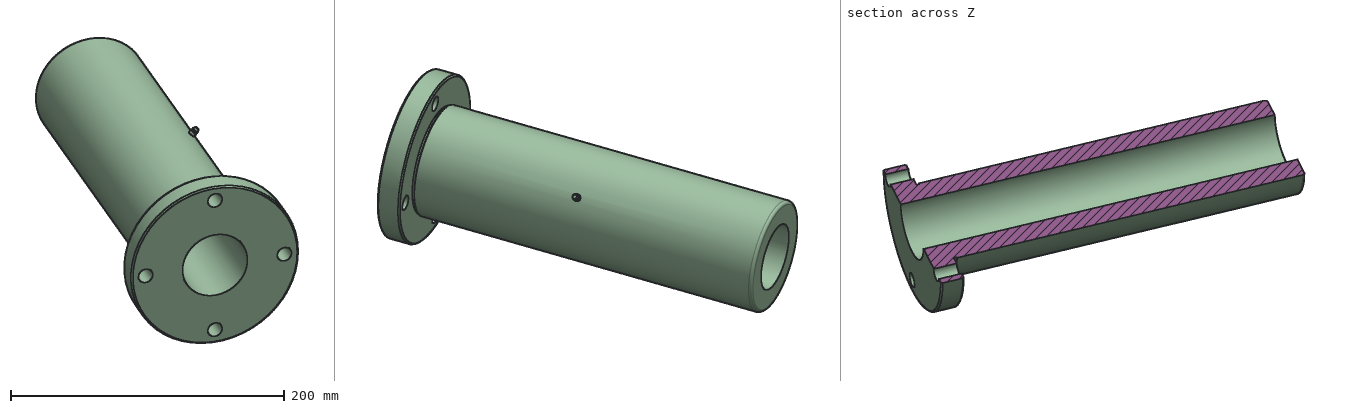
import cadquery as cq

total_length = 290.0
flange_diameter = 129.0
flange_thickness = 18.0
flange_chamfer_length = 1.2
flange_chamfer_depth = 1.2
sleeve_diameter = 85.0
bore_diameter = 50.0

end_round_radius = 2.5

relief_width = 2.0
relief_depth = 1.0

hole_count = 4
hole_diameter = 11.0
hole_circle_diameter = 107.0

nipple_x = total_length / 2
nipple_angle = 45.0
nipple_root_depth = 2.0
collar_diameter = 5.2
collar_height = 2.4
neck_diameter = 4.2
head_base_height = 3.2
head_base_diameter = 4.8
head_shoulder_height = 4.2
nipple_tip_diameter = 3.2
nipple_height = 6.2

flange_radius = flange_diameter / 2
sleeve_radius = sleeve_diameter / 2
bore_radius = bore_diameter / 2
flange_start = total_length - flange_thickness


def make_body():
    """Sleeve and flange turned about the X axis, from one half profile."""
    relief_start = flange_start - relief_width
    relief_radius = sleeve_radius - relief_depth
    rim_edge_radius = flange_radius - flange_chamfer_depth
    half_profile = (
        cq.Workplane("XY")
        .moveTo(0, bore_radius)
        .lineTo(0, sleeve_radius - end_round_radius)
        .radiusArc((end_round_radius, sleeve_radius), end_round_radius)
        .lineTo(relief_start, sleeve_radius)
        .lineTo(relief_start, relief_radius)
        .lineTo(flange_start, relief_radius)
        .lineTo(flange_start, rim_edge_radius)
        .lineTo(flange_start + flange_chamfer_length, flange_radius)
        .lineTo(total_length - flange_chamfer_length, flange_radius)
        .lineTo(total_length, rim_edge_radius)
        .lineTo(total_length, bore_radius)
        .close()
    )
    return half_profile.revolve(360, (0, 0, 0), (1, 0, 0))


def make_flange_holes():
    """Cylinders for the mounting holes, on the Y and Z axes of the flange."""
    return (
        cq.Workplane("YZ", origin=(flange_start, 0, 0))
        .polarArray(hole_circle_diameter / 2, 0, 360, hole_count)
        .circle(hole_diameter / 2)
        .extrude(flange_thickness)
    )


def make_grease_nipple():
    """Collar, neck and tapered head turned about a radial axis of the sleeve."""
    collar_radius = collar_diameter / 2
    neck_radius = neck_diameter / 2
    head_radius = head_base_diameter / 2
    half_profile = (
        cq.Workplane("XZ", origin=(nipple_x, 0, sleeve_radius))
        .moveTo(0, -nipple_root_depth)
        .lineTo(collar_radius, -nipple_root_depth)
        .lineTo(collar_radius, collar_height)
        .lineTo(neck_radius, collar_height)
        .lineTo(neck_radius, head_base_height)
        .lineTo(head_radius, head_base_height)
        .lineTo(head_radius, head_shoulder_height)
        .lineTo(nipple_tip_diameter / 2, nipple_height)
        .lineTo(0, nipple_height)
        .close()
    )
    nipple = half_profile.revolve(360, (0, 0, 0), (0, 1, 0))
    return nipple.rotate((0, 0, 0), (1, 0, 0), -nipple_angle)


result = make_body().cut(make_flange_holes()).union(make_grease_nipple())